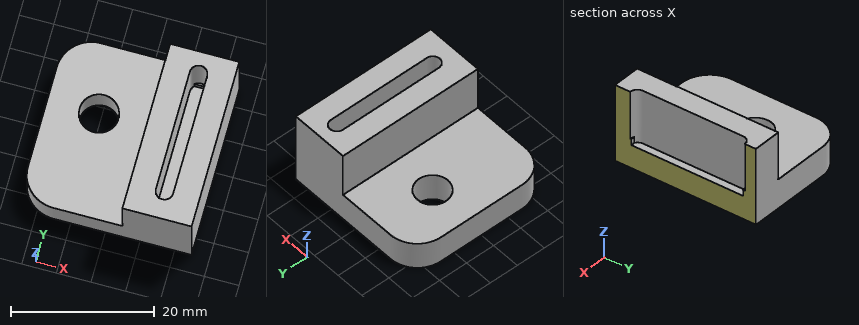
import cadquery as cq

LENGTH = 25.0
WIDTH = 25.0
HEIGHT = 13.0
BASE_THICKNESS = 5.0
BLOCK_LENGTH = 10.0
CORNER_RADIUS = 5.0

HOLE_DIAMETER = 5.6
HOLE_X = 7.5
HOLE_Y = 15.0

SLOT_WIDTH = 2.5
SLOT_FRONT_Y = 2.75
SLOT_BACK_Y = 23.0
SLOT_DEPTH = HEIGHT - BASE_THICKNESS
FLOOR_FRONT_Y = 2.92
FLOOR_BACK_Y = 22.68
FLOOR_STEP = 1.0


def make_body():
    """Base plate with rounded corners on its -X side and a raised block at the +X end."""
    base = (
        cq.Workplane("XY")
        .box(LENGTH, WIDTH, BASE_THICKNESS, centered=False)
        .edges("|Z and <X")
        .fillet(CORNER_RADIUS)
    )
    block = (
        cq.Workplane("XY")
        .box(BLOCK_LENGTH, WIDTH, HEIGHT, centered=False)
        .translate((LENGTH - BLOCK_LENGTH, 0, 0))
    )
    return base.union(block)


def make_hole():
    return (
        cq.Workplane("XY")
        .center(HOLE_X, HOLE_Y)
        .circle(HOLE_DIAMETER / 2)
        .extrude(BASE_THICKNESS)
    )


def make_slot_prism(depth):
    """Round-ended prism reaching down from the top of the block, along the block's midline."""
    slot_x = LENGTH - BLOCK_LENGTH / 2
    slot_y = (SLOT_FRONT_Y + SLOT_BACK_Y) / 2
    return (
        cq.Workplane("XY", origin=(slot_x, slot_y, HEIGHT))
        .slot2D(SLOT_BACK_Y - SLOT_FRONT_Y, SLOT_WIDTH, angle=90)
        .extrude(-depth)
    )


def make_slot():
    """Slot whose floor drops one step, leaving a small ledge in each rounded end."""
    full_depth = SLOT_DEPTH + FLOOR_STEP
    straight_ended = (
        cq.Workplane("XY")
        .box(LENGTH, FLOOR_BACK_Y - FLOOR_FRONT_Y, HEIGHT, centered=False)
        .translate((0, FLOOR_FRONT_Y, 0))
    )
    deep_part = make_slot_prism(full_depth).intersect(straight_ended)
    return make_slot_prism(SLOT_DEPTH).union(deep_part)


result = make_body().cut(make_hole()).cut(make_slot())